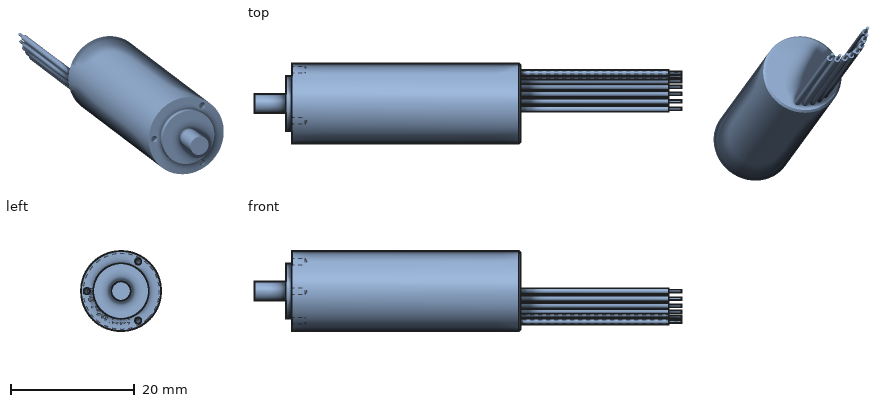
import cadquery as cq
import math

total_length = 69.1
shaft_length = 5.1
pilot_length = 1.0
body_length = 37.05
bare_tip_length = 2.1

shaft_diameter = 3.1
pilot_diameter = 9.0
body_diameter = 13.0
rear_chamfer = 0.35

hole_count = 3
hole_diameter = 1.05
hole_depth = 2.1
drill_point_angle = 118.0
hole_circle_radius = 5.5

wire_count = 8
wire_pitch_angle = 14.3
wire_circle_radius = 5.0
wire_diameter = 1.0
conductor_diameter = 0.5
wire_embed = 0.7

body_front = shaft_length + pilot_length
body_rear = body_front + body_length
insulation_end = total_length - bare_tip_length


def rod(x_start, x_end, diameter, y=0.0, z=0.0):
    """Cylinder parallel to X between two X positions."""
    section = cq.Workplane("YZ", origin=(x_start, 0, 0)).center(y, z)
    return section.circle(diameter / 2).extrude(x_end - x_start)


def point_on_circle(radius, angle):
    """Y and Z of a point at an angle in degrees, measured from +Y towards +Z."""
    return radius * math.cos(math.radians(angle)), radius * math.sin(math.radians(angle))


def motor_body():
    """Housing with a chamfered rear rim, front pilot and output shaft."""
    housing = rod(body_front, body_rear, body_diameter).faces(">X").chamfer(rear_chamfer)
    pilot = rod(shaft_length, body_front, pilot_diameter)
    shaft = rod(0, shaft_length, shaft_diameter)
    return housing.union(pilot).union(shaft)


def lead_wire(y, z):
    """Insulated wire with a bare conductor at its free end."""
    insulation = rod(body_rear - wire_embed, insulation_end, wire_diameter, y, z)
    conductor = rod(insulation_end, total_length, conductor_diameter, y, z)
    return insulation.union(conductor)


def mounting_hole(y, z):
    """Blind hole in the front face, ending in a conical drill point."""
    radius = hole_diameter / 2
    bore_end = body_front + hole_depth
    point_length = radius / math.tan(math.radians(drill_point_angle / 2))
    drill_point = cq.Solid.makeCone(radius, 0, point_length, cq.Vector(bore_end, y, z), cq.Vector(1, 0, 0))
    return rod(body_front, bore_end, hole_diameter, y, z).union(cq.Workplane(drill_point))


result = motor_body()

for index in range(hole_count):
    hole_y, hole_z = point_on_circle(hole_circle_radius, index * 360 / hole_count)
    result = result.cut(mounting_hole(hole_y, hole_z))

for index in range(wire_count):
    wire_y, wire_z = point_on_circle(wire_circle_radius, -index * wire_pitch_angle)
    result = result.union(lead_wire(wire_y, wire_z))